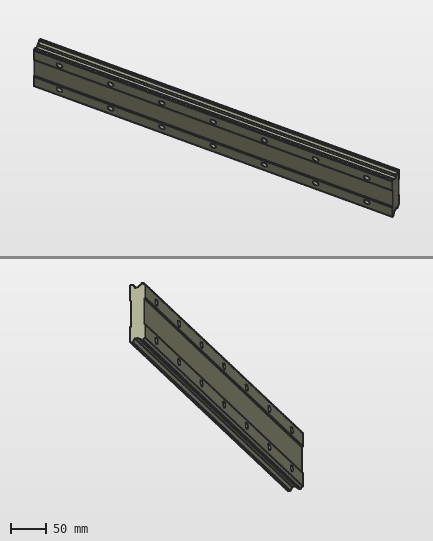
import cadquery as cq
import math

length = 560.0
thickness = 24.0
height = 90.0
front = -thickness / 2
back = thickness / 2
top = height / 2

recess_depth = 1.4
recess_floor_half_height = 19.5
recess_mouth_half_height = recess_floor_half_height + recess_depth

front_chamfer = 1.0

cove_radius = 3.5
cove_reach = cove_radius * math.sqrt(0.5)

groove_depth = 5.3
front_land_width = 4.5
back_land_offset = 6.0
groove_wall_angle = 60.0
groove_front = front + front_land_width
groove_back = back - back_land_offset
groove_floor_front = groove_front + groove_depth / math.tan(math.radians(groove_wall_angle))
cove_foot = groove_back - cove_radius
groove_floor_back = cove_foot - (groove_depth - cove_radius)

hole_diameter = 9.0
holes_per_row = 7
hole_pitch = length / holes_per_row
hole_row_spacing = 60.0


def make_upper_half():
    """Bar from the XY plane up to the grooved top edge."""
    return (
        cq.Workplane("YZ")
        .moveTo(front + recess_depth, 0)
        .lineTo(front + recess_depth, recess_floor_half_height)
        .lineTo(front, recess_mouth_half_height)
        .lineTo(front, top - front_chamfer)
        .lineTo(front + front_chamfer, top)
        .lineTo(groove_front, top)
        .lineTo(groove_floor_front, top - groove_depth)
        .lineTo(groove_floor_back, top - groove_depth)
        .lineTo(cove_foot, top - cove_radius)
        .threePointArc((cove_foot + cove_reach, top - cove_reach), (groove_back, top))
        .lineTo(back - cove_radius, top)
        .threePointArc((back - cove_reach, top - cove_reach), (back, top - cove_radius))
        .lineTo(back, recess_mouth_half_height)
        .lineTo(back - recess_depth, recess_floor_half_height)
        .lineTo(back - recess_depth, 0)
        .close()
        .extrude(length / 2, both=True)
    )


def make_holes():
    """Cylinders through the thickness, in two rows along X."""
    return (
        cq.Workplane("XZ")
        .rarray(hole_pitch, hole_row_spacing, holes_per_row, 2)
        .circle(hole_diameter / 2)
        .extrude(thickness, both=True)
    )


upper_half = make_upper_half()
bar = upper_half.union(upper_half.mirror("XY")).clean()
result = bar.cut(make_holes())